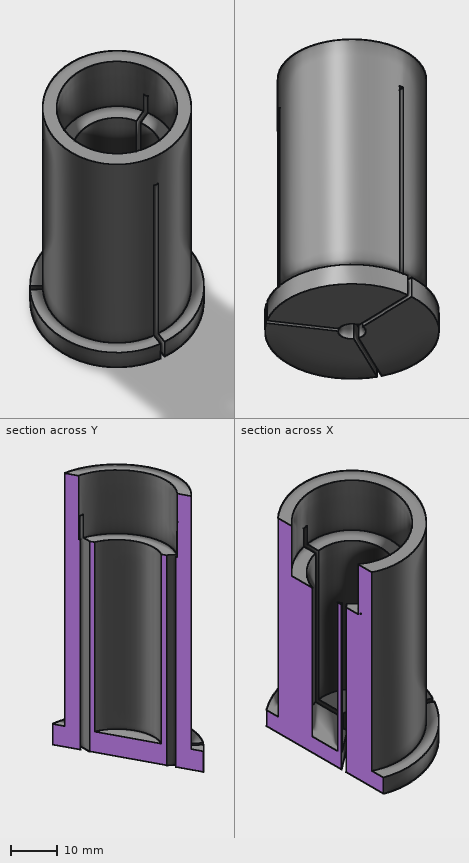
import cadquery as cq

total_height = 64.6

flange_radius = 18.75
flange_height = 5.0
sleeve_radius = 16.0

socket_radius = 13.0
socket_depth = 15.0
cavity_radius = 9.75
floor_thickness = flange_height
hole_radius = 3.0

slot_count = 3
slot_width = 1.05
slot_height = 55.05
first_slot_angle = 90.0


def cylinder(radius, bottom, top):
    """Upright cylinder on the Z axis between two heights."""
    return cq.Workplane("XY").workplane(offset=bottom).circle(radius).extrude(top - bottom)


def flanged_sleeve():
    """Solid sleeve standing on its flange."""
    flange = cylinder(flange_radius, 0, flange_height)
    return flange.union(cylinder(sleeve_radius, 0, total_height))


def stepped_bore():
    """Wide socket, narrower cavity and the small hole through the floor."""
    socket = cylinder(socket_radius, total_height - socket_depth, total_height)
    cavity = cylinder(cavity_radius, floor_thickness, total_height)
    hole = cylinder(hole_radius, 0, total_height)
    return socket.union(cavity).union(hole)


def radial_slot(angle):
    """Slot from the axis out past the flange rim, in the given direction."""
    slot_length = flange_radius + slot_width
    slot = cq.Workplane("XY").box(slot_length, slot_width, slot_height, centered=(False, True, False))
    return slot.rotate((0, 0, 0), (0, 0, 1), angle)


result = flanged_sleeve().cut(stepped_bore())
for index in range(slot_count):
    result = result.cut(radial_slot(first_slot_angle + index * 360.0 / slot_count))